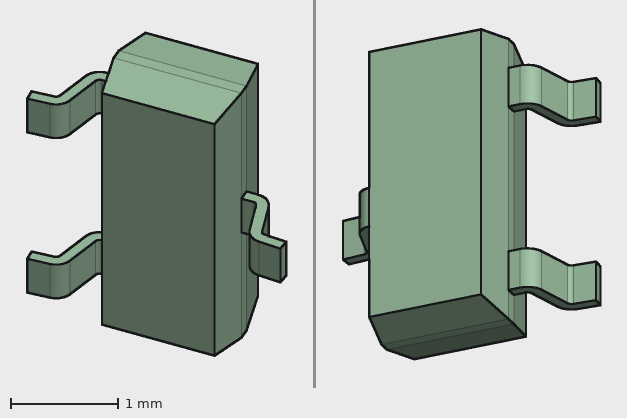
import cadquery as cq
import math

housing_width = 1.305
housing_depth = 0.998
housing_height = 2.9
draft_angle = 10.0
lead_thickness = 0.12

lead_width = 0.4
lead_pitch = 1.9
lead_span = 2.6
lead_drop = 0.6
shoulder_length = 0.12
leg_angle = 15.0
foot_angle = 4.0
inner_bend_radius = 0.05
outer_bend_radius = inner_bend_radius + lead_thickness
half_thickness = lead_thickness / 2


def make_housing():
    block_depth = (housing_depth - lead_thickness) / 2
    band = (
        cq.Workplane("XZ", origin=(0, half_thickness, 0))
        .rect(housing_width, housing_height)
        .extrude(lead_thickness)
    )
    return (
        band.faces("<Y").wires().toPending()
        .extrude(block_depth, taper=draft_angle)
        .faces(">Y").wires().toPending()
        .workplane()
        .extrude(block_depth, taper=draft_angle)
    )


def bend_offset(heading_in, heading_out):
    """Vector from a centreline corner to its left-hand mitred corner."""
    bisector = (heading_in + heading_out) / 2
    length = half_thickness / math.cos((heading_out - heading_in) / 2)
    return cq.Vector(-math.sin(bisector), math.cos(bisector)) * length


def make_lead(z_center):
    """Lead on the +X side, running from the housing wall to the foot tip."""
    leg_slope = math.tan(math.radians(leg_angle))
    foot_slope = math.tan(math.radians(foot_angle))
    leg_heading = math.radians(leg_angle - 90)
    foot_heading = math.radians(-foot_angle)

    root = cq.Vector(housing_width / 2, 0)
    middle_radius = inner_bend_radius + half_thickness
    bend_setback = middle_radius * math.tan(abs(leg_heading) / 2)
    shoulder = root + cq.Vector(shoulder_length + bend_setback, 0)
    tip = cq.Vector(
        lead_span / 2 - half_thickness * math.sin(math.radians(foot_angle)),
        half_thickness * math.cos(math.radians(foot_angle)) - lead_drop,
    )
    ankle_drop = (-tip.y - (tip.x - shoulder.x) * foot_slope) / (1 - leg_slope * foot_slope)
    ankle = cq.Vector(shoulder.x + ankle_drop * leg_slope, -ankle_drop)

    centerline = [root, shoulder, ankle, tip]
    offsets = [
        bend_offset(0, 0),
        bend_offset(0, leg_heading),
        bend_offset(leg_heading, foot_heading),
        bend_offset(foot_heading, foot_heading),
    ]
    upper = [point + offset for point, offset in zip(centerline, offsets)]
    lower = [point - offset for point, offset in zip(centerline, offsets)]
    outline = [point.toTuple()[:2] for point in upper + lower[::-1]]
    lead = (
        cq.Workplane("XY", origin=(0, 0, z_center - lead_width / 2))
        .polyline(outline)
        .close()
        .extrude(lead_width)
    )

    bends = [
        (upper[1], outer_bend_radius),
        (lower[1], inner_bend_radius),
        (upper[2], inner_bend_radius),
        (lower[2], outer_bend_radius),
    ]
    for corner, radius in bends:
        edge = cq.selectors.NearestToPointSelector((corner.x, corner.y, z_center))
        lead = lead.edges("|Z").edges(edge).fillet(radius)
    return lead


housing = make_housing()

leads = [make_lead(0)]
for side in (-1, 1):
    leads.append(make_lead(side * lead_pitch / 2).mirror("YZ"))

result = cq.Compound.makeCompound([housing.val(), *[lead.val() for lead in leads]])